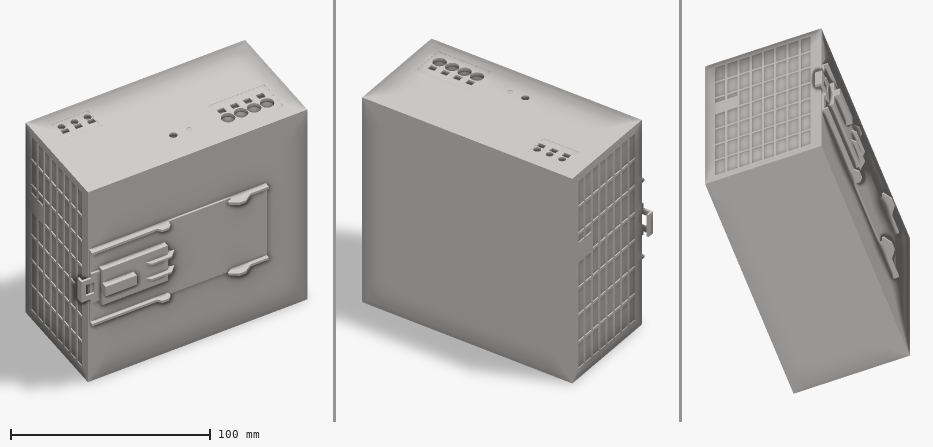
import cadquery as cq

housing_width = 62.1
housing_depth = 127.0
housing_height = 125.0
overall_width = 70.0
release_tab_reach = 5.2

vent_columns = 8
vent_rows = 7
vent_width = 5.3
vent_height = 15.1
vent_field_width = 51.0
vent_pitch_x = (vent_field_width - vent_width) / (vent_columns - 1)
vent_pitch_z = 16.5
vent_left = 5.4
vent_bottom = 6.0
vent_depth = 0.7
short_vent_row = 4
short_vent_columns = 2
short_vent_height = 4.4

seam_depth = 0.1
terminal_pitch = 7.5
terminal_depth = 2.6

output_block_x = 34.6
output_block_y = 85.7
output_block_width = 20.1
output_block_length = 32.4
output_count = 4
output_first_y = 89.6
output_screw_x = 47.5
output_screw_diameter = 7.3
output_wire_x = 41.2
output_wire_width = 3.5
output_wire_length = 4.0

input_block_x = 7.7
input_block_y = 9.9
input_block_width = 13.6
input_block_length = 21.7
input_count = 3
input_first_y = 14.0
input_screw_x = 11.6
input_screw_diameter = 4.0
input_wire_x = 15.5
input_wire_width = 2.9
input_wire_length = 4.0

indicator_x = 45.5
indicator_y = 68.3
indicator_diameter = 3.2
adjuster_x = indicator_x
adjuster_y = 59.1
adjuster_diameter = 4.2
adjuster_depth = 2.6

bracket_mid_z = 63.0
bracket_height = 48.1
bracket_front_y = 0.5
bracket_rear_y = 102.9
bracket_plate_thickness = 1.2
ear_thickness = 1.5
ear_reach = 3.3
hook_reach = 6.6
rear_hook_y = 87.6
rear_hook_flat = 3.8
rear_hook_ramp = 4.6
rear_hook_tip_y = 79.3
rear_hook_tip_outer = 3.8
rear_hook_tip_inner = 2.8
rear_hook_throat_y = 81.5
rear_hook_throat_reach = 2.0
front_nose_reach = 5.4
front_nose_y = 40.0
front_nose_flat = 3.8
front_nose_ramp = 2.0
front_nose_bevel = 1.9

slider_reach = 4.5
slider_height = 23.0
slider_front_y = 5.7
slider_rear_y = 43.6
latch_thickness = 1.2
latch_outer_half_height = 5.7
latch_front_y = 31.0
latch_bevel = hook_reach - slider_reach
latch_rear_bevel_y = 44.8
latch_tip_y = 48.4
latch_tip_reach = 2.8
latch_heel_y = 46.1
latch_root_reach = 2.0
grip_length = 18.0
grip_height = 6.2

tab_neck_height = 19.3
tab_height = 13.5
tab_plate_thickness = 1.2
tab_lip_length = 4.0
tab_window_height = 7.1
tab_window_reach = 2.6
tab_window_length = 5.0


def box(x, y, z, width, depth, height):
    return cq.Workplane("XY").box(width, depth, height, centered=False).translate((x, y, z))


def bracket_box(x, y, width, depth, height):
    """Box centred in Z on the middle plane of the bracket."""
    return box(x, y, bracket_mid_z - height / 2, width, depth, height)


def top_pocket(x, y, width, length, depth):
    return box(x, y, housing_height - depth, width, length, depth)


def top_hole(x, y, diameter, depth):
    hole = cq.Workplane("XY").circle(diameter / 2).extrude(depth)
    return hole.translate((x, y, housing_height - depth))


def vents():
    pockets = cq.Workplane("XY")
    for row in range(vent_rows):
        for column in range(vent_columns):
            is_short = row == short_vent_row and column < short_vent_columns
            height = short_vent_height if is_short else vent_height
            top = vent_bottom + row * vent_pitch_z + vent_height
            left = vent_left + column * vent_pitch_x
            pockets = pockets.add(box(left, 0, top - height, vent_width, vent_depth, height))
    return pockets.combine()


def terminals(count, first_y, screw_x, screw_diameter, wire_x, wire_width, wire_length):
    """Row of round screw openings, each with a rectangular wire opening beside it."""
    openings = cq.Workplane("XY")
    for index in range(count):
        y = first_y + index * terminal_pitch
        screw = top_hole(screw_x, y, screw_diameter, terminal_depth)
        wire_left = wire_x - wire_width / 2
        wire_front = y - wire_length / 2
        wire = top_pocket(wire_left, wire_front, wire_width, wire_length, terminal_depth)
        openings = openings.add(screw).add(wire)
    return openings.combine()


def flange_pair(outline, outer_half_height, thickness):
    """Two mirrored upright flanges; outline points are (reach from the housing side, y)."""
    points = [(housing_width + reach, y) for reach, y in outline]
    flange = cq.Workplane("XY").polyline(points).close().extrude(thickness)
    upper = flange.translate((0, 0, bracket_mid_z + outer_half_height - thickness))
    lower = flange.translate((0, 0, bracket_mid_z - outer_half_height))
    return upper.union(lower)


def bracket():
    plate = bracket_box(
        housing_width, bracket_front_y,
        bracket_plate_thickness, bracket_rear_y - bracket_front_y, bracket_height,
    )
    rear_ear = [
        (0, bracket_rear_y), (ear_reach, bracket_rear_y), (ear_reach, rear_hook_y + rear_hook_ramp),
        (hook_reach, rear_hook_y), (hook_reach, rear_hook_y - rear_hook_flat),
        (rear_hook_tip_outer, rear_hook_tip_y), (rear_hook_tip_inner, rear_hook_tip_y),
        (rear_hook_throat_reach, rear_hook_throat_y), (0, rear_hook_throat_y),
    ]
    front_nose_end = front_nose_y + front_nose_flat
    front_ear_rear_y = front_nose_end + front_nose_bevel
    front_ear = [
        (0, bracket_front_y), (ear_reach, bracket_front_y), (ear_reach, front_nose_y - front_nose_ramp),
        (front_nose_reach, front_nose_y), (front_nose_reach, front_nose_end),
        (front_nose_reach - front_nose_bevel, front_ear_rear_y), (0, front_ear_rear_y),
    ]
    half_height = bracket_height / 2
    ears = flange_pair(rear_ear, half_height, ear_thickness)
    return plate.union(ears).union(flange_pair(front_ear, half_height, ear_thickness))


def slider():
    slider_start = housing_width + bracket_plate_thickness
    body = bracket_box(
        slider_start, slider_front_y,
        slider_reach - bracket_plate_thickness, slider_rear_y - slider_front_y, slider_height,
    )
    grip_start = housing_width + slider_reach
    grip = bracket_box(grip_start, slider_front_y, overall_width - grip_start, grip_length, grip_height)
    latch = [
        (latch_root_reach, latch_front_y), (slider_reach, latch_front_y),
        (hook_reach, latch_front_y + latch_bevel), (hook_reach, latch_rear_bevel_y),
        (latch_tip_reach, latch_tip_y), (latch_tip_reach, latch_heel_y), (latch_root_reach, latch_heel_y),
    ]
    return body.union(grip).union(flange_pair(latch, latch_outer_half_height, latch_thickness))


def release_tab():
    tab_x = housing_width + bracket_plate_thickness
    neck = bracket_box(
        tab_x, bracket_front_y, tab_plate_thickness, slider_front_y - bracket_front_y, tab_neck_height
    )
    plate = bracket_box(
        tab_x, -release_tab_reach, tab_plate_thickness, release_tab_reach + bracket_front_y, tab_height
    )
    lip_x = tab_x + tab_plate_thickness - tab_lip_length
    lip = bracket_box(lip_x, -release_tab_reach, tab_lip_length, tab_plate_thickness, tab_height)
    window = bracket_box(
        tab_x, -tab_window_reach, tab_plate_thickness, tab_window_length, tab_window_height
    )
    return neck.union(plate).union(lip).cut(window)


housing = box(0, 0, 0, housing_width, housing_depth, housing_height)
housing = housing.cut(vents())

housing = housing.cut(
    top_pocket(output_block_x, output_block_y, output_block_width, output_block_length, seam_depth)
)
housing = housing.cut(
    top_pocket(input_block_x, input_block_y, input_block_width, input_block_length, seam_depth)
)
housing = housing.cut(top_hole(indicator_x, indicator_y, indicator_diameter, seam_depth))

housing = housing.cut(top_hole(adjuster_x, adjuster_y, adjuster_diameter, adjuster_depth))
housing = housing.cut(
    terminals(
        output_count, output_first_y, output_screw_x, output_screw_diameter,
        output_wire_x, output_wire_width, output_wire_length,
    )
)
housing = housing.cut(
    terminals(
        input_count, input_first_y, input_screw_x, input_screw_diameter,
        input_wire_x, input_wire_width, input_wire_length,
    )
)

result = housing.union(bracket()).union(slider()).union(release_tab())